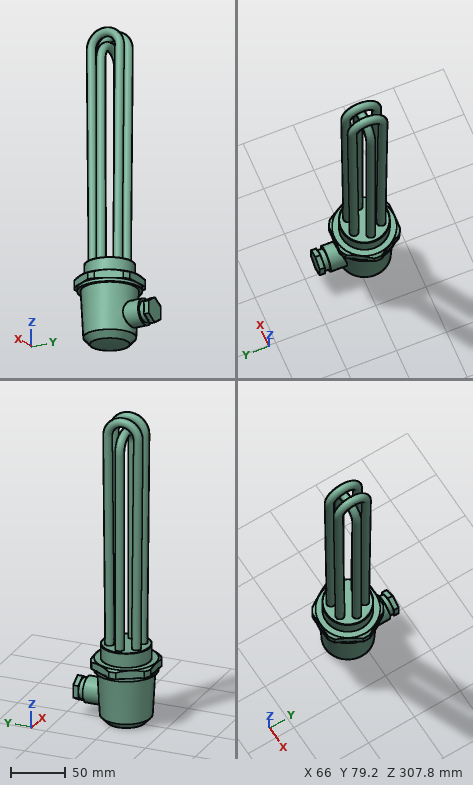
import cadquery as cq
import math


cap_rim_z = 7.5
collar_z = 52.5
hex_z = 55.7
plug_z = 64.0
plug_top_z = 78.5
total_height = 307.8

cap_base_radius = 18.5
cap_rim_radius = 24.5
cap_top_radius = 27.0
cap_base_bulge = 1.0

gland_z = 26.0
gland_end_y = 49.0
gland_barrel_diameter = 25.5
gland_neck_diameter = 20.5
gland_hex_across_corners = 24.5
gland_hex_length = 5.2
gland_neck_length = 5.2

collar_radius = 30.2
hex_across_flats = 2 * collar_radius
hex_half_angle = 30.0
hex_clip_diameter = 66.0
hex_chamfer_radius = 30.0
hex_chamfer_angle = 30.0
plug_radius = 23.7
plug_chamfer = 0.5

tube_radius = 4.3
bend_radius = 15.5
side_spacing = 15.5
side_foot_y = 13.5
side_kink_z = 98.8
side_kink_reach = 0.5
side_bend_z = total_height - tube_radius - bend_radius
middle_bend_z = 275.5


def make_cap():
    """Tapered cup with a sloped lower rim and a slightly bulged underside."""
    arc_radius = (cap_base_radius**2 + cap_base_bulge**2) / (2 * cap_base_bulge)
    arc_mid_x = cap_base_radius / 2
    arc_mid_z = arc_radius - math.sqrt(arc_radius**2 - arc_mid_x**2)
    return (
        cq.Workplane("XZ")
        .moveTo(0, 0)
        .threePointArc((arc_mid_x, arc_mid_z), (cap_base_radius, cap_base_bulge))
        .lineTo(cap_rim_radius, cap_rim_z)
        .lineTo(cap_top_radius, collar_z)
        .lineTo(0, collar_z)
        .close()
        .revolve(360, (0, 0, 0), (0, 1, 0))
    )


def gland_section(start_y):
    """Workplane across the gland axis, with its extrusion direction along +Y."""
    plane = cq.Plane(origin=(0, start_y, gland_z), xDir=(0, 0, 1), normal=(0, 1, 0))
    return cq.Workplane(plane)


def make_gland():
    """Barrel, narrower neck and hexagonal nut with corners at top and bottom."""
    nut_y = gland_end_y - gland_hex_length
    neck_y = nut_y - gland_neck_length
    barrel = gland_section(0).circle(gland_barrel_diameter / 2).extrude(neck_y)
    neck = gland_section(0).circle(gland_neck_diameter / 2).extrude(nut_y)
    nut = gland_section(nut_y).polygon(6, gland_hex_across_corners).extrude(gland_hex_length)
    return barrel.union(neck).union(nut)


def make_hex_flange():
    """Hexagon with corners on +-X, clipped to a round and chamfered on its upper face."""
    thickness = plug_z - hex_z
    across_corners = hex_across_flats / math.cos(math.radians(hex_half_angle))
    clip_radius = hex_clip_diameter / 2
    chamfer_drop = (clip_radius - hex_chamfer_radius) * math.tan(math.radians(hex_chamfer_angle))
    hexagon = cq.Workplane("XY").workplane(offset=hex_z).polygon(6, across_corners).extrude(thickness)
    envelope = (
        cq.Workplane("XZ")
        .moveTo(0, hex_z)
        .lineTo(clip_radius, hex_z)
        .lineTo(clip_radius, plug_z - chamfer_drop)
        .lineTo(hex_chamfer_radius, plug_z)
        .lineTo(0, plug_z)
        .close()
        .revolve(360, (0, 0, 0), (0, 1, 0))
    )
    return hexagon.intersect(envelope)


def make_plug():
    """Sealing collar, hexagon and round screw-in end."""
    collar = cq.Workplane("XY").workplane(offset=collar_z).circle(collar_radius).extrude(hex_z - collar_z)
    screw_end = (
        cq.Workplane("XY")
        .workplane(offset=plug_z)
        .circle(plug_radius)
        .extrude(plug_top_z - plug_z)
        .faces(">Z")
        .chamfer(plug_chamfer)
    )
    return collar.union(make_hex_flange()).union(screw_end)


def sweep_tube(path, start):
    """Round rod along a path that leaves its start point upwards."""
    return cq.Workplane("XY", origin=start).circle(tube_radius).sweep(path)


def make_middle_element():
    """Straight-legged U in the XZ plane."""
    path = (
        cq.Workplane("XZ")
        .moveTo(-bend_radius, plug_z)
        .lineTo(-bend_radius, middle_bend_z)
        .threePointArc((0, middle_bend_z + bend_radius), (bend_radius, middle_bend_z))
        .lineTo(bend_radius, plug_z)
    )
    return sweep_tube(path, (-bend_radius, 0, plug_z))


def make_side_element(x):
    """U in a plane parallel to YZ, with legs that lean outwards above a short bend."""
    rise = side_bend_z - side_kink_z
    lean = math.asin(bend_radius / math.hypot(side_foot_y, rise)) - math.atan2(side_foot_y, rise)
    bend_start_y = bend_radius * math.cos(lean)
    bend_start_z = side_bend_z - bend_radius * math.sin(lean)
    kink_start_z = side_kink_z - side_kink_reach
    kink_end_y = side_foot_y + side_kink_reach * math.sin(lean)
    kink_end_z = side_kink_z + side_kink_reach * math.cos(lean)
    path = (
        cq.Workplane("YZ", origin=(x, 0, 0))
        .moveTo(-side_foot_y, plug_z)
        .lineTo(-side_foot_y, kink_start_z)
        .tangentArcPoint((-kink_end_y, kink_end_z), relative=False)
        .lineTo(-bend_start_y, bend_start_z)
        .threePointArc((0, side_bend_z + bend_radius), (bend_start_y, bend_start_z))
        .lineTo(kink_end_y, kink_end_z)
        .tangentArcPoint((side_foot_y, kink_start_z), relative=False)
        .lineTo(side_foot_y, plug_z)
    )
    return sweep_tube(path, (x, -side_foot_y, plug_z))


terminal_cap = make_cap().union(make_gland())

heater = make_plug().union(make_middle_element())
for side in (-1, 1):
    heater = heater.union(make_side_element(side * side_spacing / 2))

result = cq.Compound.makeCompound([terminal_cap.val(), heater.val()])